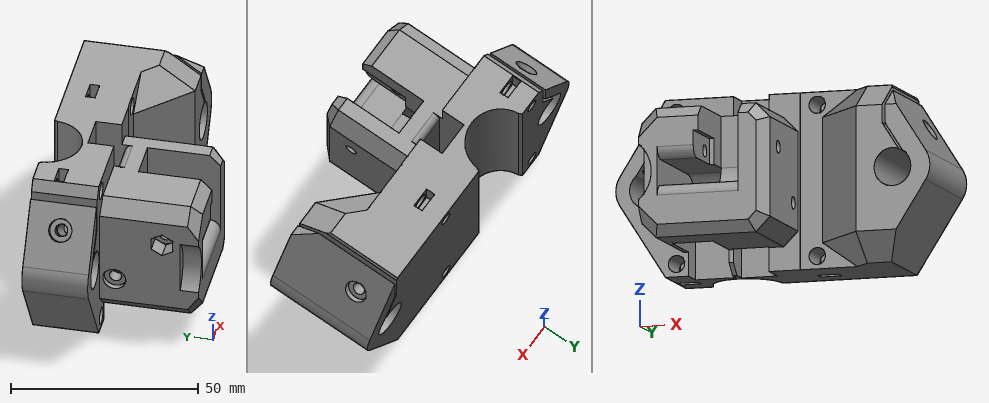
import cadquery as cq
import math

half_length = 46.35
half_height = 24.0
top_edge_half = 32.4
lobe_radius = 7.4
lobe_x = half_length - lobe_radius
plate_depth = 17.9
pad_step = 0.1
pad_end_x = 5.45
beyond = 5.0

rod_radius = 5.15
rod_x = {-1: -37.3, 1: 35.85}
slit_inner = {-1: 34.3, 1: 32.9}
slit_outer = {-1: 35.4, 1: 33.7}
slit_bend_z = 12.1
slit_run = 12.0
clamp_screw_x = {-1: -39.35, 1: 39.0}
clamp_screw_y = -9.0
clamp_screw_radius = 1.7
clamp_head_radius = 3.15
clamp_head_depth = 1.7
clamp_screw_depth = 15.0

boss_depth = 31.8
boss_front_x = 25.6
boss_bevel_z = 17.0
boss_bevel_depth = 9.8

mount_xs = (-29.3, 10.2)
mount_z = 20.5
mount_radius = 1.8
mount_front_radius = 2.3
nut_width = 5.75
nut_thickness = 2.6
nut_front_y = -8.4
nut_slot_depth = 6.5

relief_x = -14.9
relief_radius = 9.55
relief_mouth_half = 10.0
relief_mouth_depth = 0.9
passage_left = -13.3
passage_right = -3.3
passage_back_y = -10.9
passage_front_y = -18.9
passage_lip_radius = 2.0

block_left = -31.2
block_right = 4.83
block_half_height = 17.5
block_front_y = -45.0
block_corner = 4.0
block_front_chamfer = 3.0
disc_radius = 9.7
disc_depth = 5.0

wheel_offset = 6.5
upper_axis_y = -35.0
lower_axis_y = -22.0
wheel_clearance = 10.0
pocket_left = -25.9
pocket_split = -14.5
pocket_right = -3.25
channel_half = wheel_clearance - wheel_offset
pocket_corner_radius = 7.0
lip_radius = 3.05
recess_half_width = 4.0
recess_depth = 1.3
spacer_radius = 2.35
spacer_length = 1.1
axle_radius = 1.65
hex_flats = 5.85
hex_depth = 5.0
head_radius = 3.1
head_depth = 1.6
web_chamfer = 3.0


def box(x0, x1, y0, y1, z0, z1):
    """Axis-aligned box between opposite corner coordinates."""
    return cq.Workplane("XY").box(x1 - x0, y1 - y0, z1 - z0, centered=False).translate((x0, y0, z0))


def cylinder_along_x(radius, x0, x1, y, z):
    return cq.Workplane("YZ", origin=(x0, y, z)).circle(radius).extrude(x1 - x0)


def cylinder_along_y(radius, x, z, y_back, y_front):
    return cq.Workplane("XZ", origin=(x, y_back, z)).circle(radius).extrude(y_back - y_front)


corner_dx = top_edge_half - lobe_x
corner_distance = math.hypot(corner_dx, half_height)
normal_angle = math.atan2(half_height, corner_dx) - math.acos(lobe_radius / corner_distance)
normal_x = math.cos(normal_angle)
normal_z = math.sin(normal_angle)


def outline_prism(depth):
    """Hexagon with rounded side lobes, extruded from Y = 0 toward -Y."""
    tangent_x = lobe_x + lobe_radius * normal_x
    tangent_z = lobe_radius * normal_z
    return (
        cq.Workplane("XZ")
        .moveTo(-top_edge_half, half_height)
        .lineTo(top_edge_half, half_height)
        .lineTo(tangent_x, tangent_z)
        .threePointArc((half_length, 0), (tangent_x, -tangent_z))
        .lineTo(top_edge_half, -half_height)
        .lineTo(-top_edge_half, -half_height)
        .lineTo(-tangent_x, -tangent_z)
        .threePointArc((-half_length, 0), (-tangent_x, tangent_z))
        .close()
        .extrude(depth)
    )


def base_plate():
    """Plate in two thicknesses, split at the end of the idler side pad."""
    pad_depth = plate_depth + pad_step
    pad_area = box(-half_length, pad_end_x, -pad_depth, 0, -half_height, half_height)
    return outline_prism(plate_depth).union(outline_prism(pad_depth).intersect(pad_area))


def boss_section(workplane, front_depth):
    """Boss outline in plan, with the ramp running at 45 degrees to the given depth."""
    ramp_run = front_depth - plate_depth
    ramp_x = boss_front_x - ramp_run
    return workplane.polyline([
        (ramp_x, -plate_depth),
        (boss_front_x, -front_depth),
        (half_length, -front_depth),
        (half_length, -plate_depth),
    ]).close()


def rod_boss():
    """Ramped boss around the +X rod, bevelled toward its top and bottom."""
    middle = boss_section(cq.Workplane("XY", origin=(0, 0, -boss_bevel_z)), boss_depth)
    boss = middle.extrude(2 * boss_bevel_z)
    cap_base = boss_section(cq.Workplane("XY", origin=(0, 0, boss_bevel_z)), boss_depth)
    bevel_height = half_height - boss_bevel_z
    cap = boss_section(cap_base.workplane(offset=bevel_height), boss_depth - boss_bevel_depth)
    cap = cap.loft(ruled=True)
    boss = boss.union(cap).union(cap.mirror("XY"))
    return boss.intersect(outline_prism(boss_depth))


def idler_block():
    """Octagonal block, its front edges chamfered except along the -X side."""
    margin = block_corner / 4
    block = box(block_left, block_right, block_front_y, -plate_depth, -block_half_height, block_half_height)
    block = block.edges("|Y").chamfer(block_corner)
    front_edges = block.faces("<Y").edges(cq.selectors.BoxSelector(
        (block_left + margin, block_front_y - margin, -half_height),
        (block_right + margin, block_front_y + margin, half_height),
    ))
    return front_edges.chamfer(block_front_chamfer)


def rod_cuts(side):
    """Rod bore and the bent clamp slit that opens it to the top."""
    bore = cylinder_along_y(rod_radius, rod_x[side], 0, 0, -boss_depth)
    run_x = slit_run * normal_z
    bend_end_z = slit_bend_z - slit_run * normal_x
    inner = slit_inner[side]
    outer = slit_outer[side]
    top_z = half_height + beyond
    slit = cq.Workplane("XZ").polyline([
        (side * inner, top_z),
        (side * outer, top_z),
        (side * outer, slit_bend_z),
        (side * (outer + run_x), bend_end_z),
        (side * (inner + run_x), bend_end_z),
        (side * inner, slit_bend_z),
    ]).close().extrude(boss_depth)
    return bore.union(slit)


def clamp_screw_cut(side):
    """Counterbored blind hole square to the sloping clamp face."""
    face_z = half_height - (abs(clamp_screw_x[side]) - top_edge_half) * normal_x / normal_z
    inward = cq.Vector(-side * normal_x, 0, -normal_z)
    entry = cq.Vector(clamp_screw_x[side], clamp_screw_y, face_z)
    start = entry - inward * beyond
    hole = cq.Solid.makeCylinder(clamp_screw_radius, clamp_screw_depth + beyond, start, inward)
    head = cq.Solid.makeCylinder(clamp_head_radius, clamp_head_depth + beyond, start, inward)
    return cq.Workplane(hole).union(cq.Workplane(head))


def mount_cut(x, side):
    """Stepped screw hole with a nut slot reaching in from the top or bottom face."""
    z = side * mount_z
    front_y = -plate_depth - pad_step
    cut = cylinder_along_y(mount_radius, x, z, 0, front_y)
    cut = cut.union(cylinder_along_y(mount_front_radius, x, z, nut_front_y, front_y))
    slot = box(
        x - nut_width / 2, x + nut_width / 2,
        nut_front_y, nut_front_y + nut_thickness,
        half_height - nut_slot_depth, half_height,
    )
    if side < 0:
        slot = slot.mirror("XY")
    return cut.union(slot)


def back_relief_cut():
    """Round groove along Z in the back face, with a slightly flared mouth."""
    groove = cq.Workplane("XY", origin=(relief_x, 0, -half_height)).circle(relief_radius)
    mouth_inner = math.sqrt(relief_radius**2 - relief_mouth_depth**2)
    mouth = cq.Workplane("XY", origin=(relief_x, 0, -half_height)).polyline([
        (-relief_mouth_half, 0),
        (relief_mouth_half, 0),
        (mouth_inner, -relief_mouth_depth),
        (-mouth_inner, -relief_mouth_depth),
    ]).close()
    return groove.extrude(2 * half_height).union(mouth.extrude(2 * half_height))


def passage_cut():
    """Square vertical passage behind the block, rounded over at the block's top edge."""
    passage = box(
        passage_left, passage_right, passage_front_y, passage_back_y,
        -half_height, half_height,
    )
    arc_offset = passage_lip_radius * (1 - math.sqrt(0.5))
    lip = (
        cq.Workplane("YZ", origin=(passage_left, 0, 0))
        .moveTo(passage_front_y, block_half_height - passage_lip_radius)
        .threePointArc(
            (passage_front_y - arc_offset, block_half_height - arc_offset),
            (passage_front_y - passage_lip_radius, block_half_height),
        )
        .lineTo(passage_front_y, block_half_height)
        .close()
        .extrude(passage_right - passage_left)
    )
    return passage.union(lip)


def channel_cut():
    """Belt channel entering from the front between two rounded lips."""
    lip_y = block_front_y + lip_radius
    mouth_half = channel_half + lip_radius
    arc_offset = lip_radius * (1 - math.sqrt(0.5))
    return (
        cq.Workplane("YZ", origin=(pocket_left, 0, 0))
        .moveTo(block_front_y, -mouth_half)
        .threePointArc((block_front_y + arc_offset, -channel_half - arc_offset), (lip_y, -channel_half))
        .lineTo(lower_axis_y - wheel_clearance, -channel_half)
        .lineTo(lower_axis_y - wheel_clearance, channel_half)
        .lineTo(lip_y, channel_half)
        .threePointArc((block_front_y + arc_offset, channel_half + arc_offset), (block_front_y, mouth_half))
        .close()
        .extrude(pocket_right - pocket_left)
    )


def upper_pocket_cut():
    """Pocket open to the top and front, with its inner bottom corner rounded."""
    pocket = box(
        pocket_split, pocket_right,
        block_front_y, upper_axis_y + wheel_clearance,
        -channel_half, block_half_height,
    )
    pocket = pocket.edges("|X and >Y and <Z").fillet(pocket_corner_radius)
    spacer = cylinder_along_x(
        spacer_radius, pocket_right - spacer_length, pocket_right, upper_axis_y, wheel_offset
    )
    recess = box(
        pocket_split - recess_depth, pocket_split,
        block_front_y, upper_axis_y + recess_half_width,
        wheel_offset - recess_half_width, wheel_offset + recess_half_width,
    )
    return pocket.cut(spacer).union(recess)


def lower_pocket_cut():
    """Pocket open to the bottom, with its inner top corner rounded."""
    pocket = box(
        pocket_left, pocket_split,
        lower_axis_y - wheel_clearance, lower_axis_y + wheel_clearance,
        -half_height, channel_half,
    )
    return pocket.edges("|X and >Y and >Z").fillet(pocket_corner_radius)


def web_chamfer_cut():
    """Bottom front chamfer of the thin web between the lower pocket and the passage."""
    web_front_y = -plate_depth - pad_step
    return cq.Workplane("YZ", origin=(pocket_split, 0, 0)).polyline([
        (web_front_y, -half_height),
        (web_front_y + web_chamfer, -half_height),
        (web_front_y, -half_height + web_chamfer),
    ]).close().extrude(passage_left - pocket_split)


def axle_cuts():
    """Axle holes through the block: nut seat on the upper one, head seat on the lower."""
    upper = cylinder_along_x(axle_radius, block_left, block_right, upper_axis_y, wheel_offset)
    lower = cylinder_along_x(axle_radius, block_left, block_right, lower_axis_y, -wheel_offset)
    hex_corners = hex_flats / math.cos(math.pi / 6)
    nut_seat = cq.Workplane("YZ", origin=(block_left, upper_axis_y, wheel_offset))
    nut_seat = nut_seat.transformed(rotate=(0, 0, 90)).polygon(6, hex_corners).extrude(hex_depth)
    head_seat = cylinder_along_x(
        head_radius, block_left, block_left + head_depth, lower_axis_y, -wheel_offset
    )
    return upper.union(lower).union(nut_seat).union(head_seat)


result = base_plate().union(rod_boss()).union(idler_block())
for end in (-1, 1):
    result = result.cut(rod_cuts(end)).cut(clamp_screw_cut(end))
for mount_x in mount_xs:
    for end in (-1, 1):
        result = result.cut(mount_cut(mount_x, end))
result = result.cut(back_relief_cut()).cut(passage_cut())
result = result.cut(channel_cut()).cut(upper_pocket_cut()).cut(lower_pocket_cut())
result = result.cut(web_chamfer_cut()).cut(axle_cuts())
result = result.cut(cylinder_along_y(
    disc_radius, rod_x[-1], 0, block_front_y + disc_depth, block_front_y
))